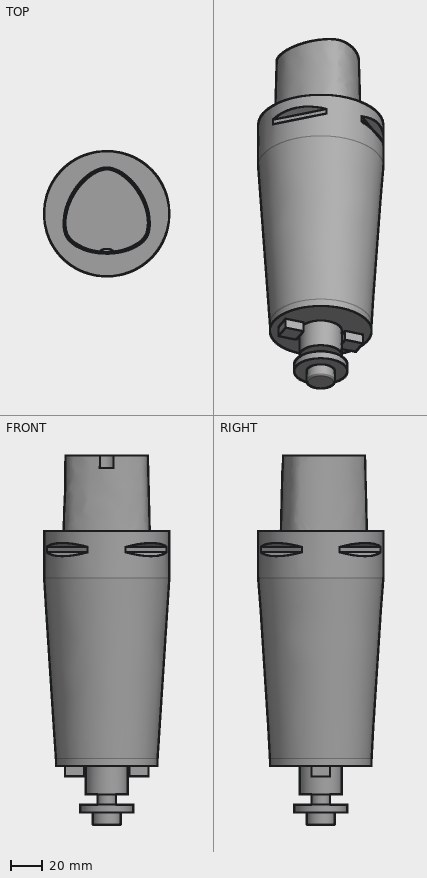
import math

import cadquery as cq

flange_height = 30.0
seat_depth = 150.0
seat_collar_height = 5.0
pilot_length = 18.0
neck_length = 6.5
washer_thickness = 5.0
bolt_head_height = 8.0

flange_diameter = 80.0
seat_diameter = 65.0
pilot_diameter = 27.0
neck_diameter = 12.0
washer_diameter = 34.0
bolt_head_diameter = 18.0
bolt_head_fillet = 1.0

shank_length = 48.0
shank_base_diameter = 55.0
shank_taper = 1 / 20
lobe_eccentricity = 2.0
lobe_count = 3
outline_point_count = 36

notch_radius = 6.0
notch_depth = 2.0
notch_height = 8.0

groove_count = 4
groove_start_angle = 45.0
groove_center_depth = 12.0
groove_floor_height = 3.3
groove_floor_distance = 35.5
groove_flank_angle = 30.0

key_width = 12.0
key_height = 6.5
key_outer_reach = 26.7
key_inner_reach = 14.4

flange_radius = flange_diameter / 2


def shank_half_width(z):
    """Half of the constant width of the polygon at height z."""
    return (shank_base_diameter - shank_taper * z) / 2


def shank_outline_point(angle, half_width):
    """Point of a constant-width three-lobed curve where its normal has the given angle."""
    reach = half_width - lobe_eccentricity * math.sin(lobe_count * angle)
    reach_slope = -lobe_count * lobe_eccentricity * math.cos(lobe_count * angle)
    x = reach * math.cos(angle) - reach_slope * math.sin(angle)
    y = reach * math.sin(angle) + reach_slope * math.cos(angle)
    return (x, y)


def shank_section(z):
    """Closed polygon outline at height z, with one lobe toward +Y."""
    step = 2 * math.pi / outline_point_count
    points = [shank_outline_point(i * step, shank_half_width(z)) for i in range(outline_point_count)]
    return cq.Workplane("XY", origin=(0, 0, z)).spline(points, periodic=True).wire().val()


def make_shank():
    sections = [shank_section(0), shank_section(shank_length)]
    shank = cq.Workplane(cq.Solid.makeLoft(sections, True))
    tip_front_y = lobe_eccentricity - shank_half_width(shank_length)
    notch = (
        cq.Workplane("XY", origin=(0, 0, shank_length - notch_height))
        .center(0, tip_front_y + notch_depth - notch_radius)
        .circle(notch_radius)
        .extrude(notch_height)
    )
    return shank.cut(notch)


def make_body():
    """Turned body from the flange down to the bolt head, as one revolved profile."""
    seat_z = -seat_depth
    pilot_end = seat_z - pilot_length
    neck_end = pilot_end - neck_length
    washer_end = neck_end - washer_thickness
    bolt_end = washer_end - bolt_head_height
    profile = [
        (0, 0),
        (flange_radius, 0),
        (flange_radius, -flange_height),
        (seat_diameter / 2, seat_z + seat_collar_height),
        (seat_diameter / 2, seat_z),
        (pilot_diameter / 2, seat_z),
        (pilot_diameter / 2, pilot_end),
        (neck_diameter / 2, pilot_end),
        (neck_diameter / 2, neck_end),
        (washer_diameter / 2, neck_end),
        (washer_diameter / 2, washer_end),
        (bolt_head_diameter / 2, washer_end),
        (bolt_head_diameter / 2, bolt_end),
        (0, bolt_end),
    ]
    body = cq.Workplane("XZ").polyline(profile).close().revolve(360, (0, 0, 0), (0, 1, 0))
    return body.faces("<Z").edges().fillet(bolt_head_fillet)


def make_gripper_groove():
    """Straight trapezoidal groove cutter that opens toward +X."""
    floor_half = groove_floor_height / 2
    run = flange_radius - groove_floor_distance
    mouth_half = floor_half + run * math.tan(math.radians(groove_flank_angle))
    return (
        cq.Workplane("XZ", origin=(0, 0, -groove_center_depth))
        .moveTo(groove_floor_distance, -floor_half)
        .lineTo(groove_floor_distance, floor_half)
        .lineTo(flange_radius, mouth_half)
        .lineTo(flange_radius, -mouth_half)
        .close()
        .extrude(flange_radius, both=True)
    )


def make_key(side):
    """Drive key under the seat; side is +1 for +X and -1 for -X."""
    length = key_outer_reach - key_inner_reach
    middle = side * (key_outer_reach + key_inner_reach) / 2
    return (
        cq.Workplane("XY", origin=(middle, 0, -seat_depth))
        .rect(length, key_width)
        .extrude(-key_height)
    )


result = make_body().union(make_shank())
for index in range(groove_count):
    angle = groove_start_angle + index * 360 / groove_count
    result = result.cut(make_gripper_groove().rotate((0, 0, 0), (0, 0, 1), angle))
for side in (-1, 1):
    result = result.union(make_key(side))